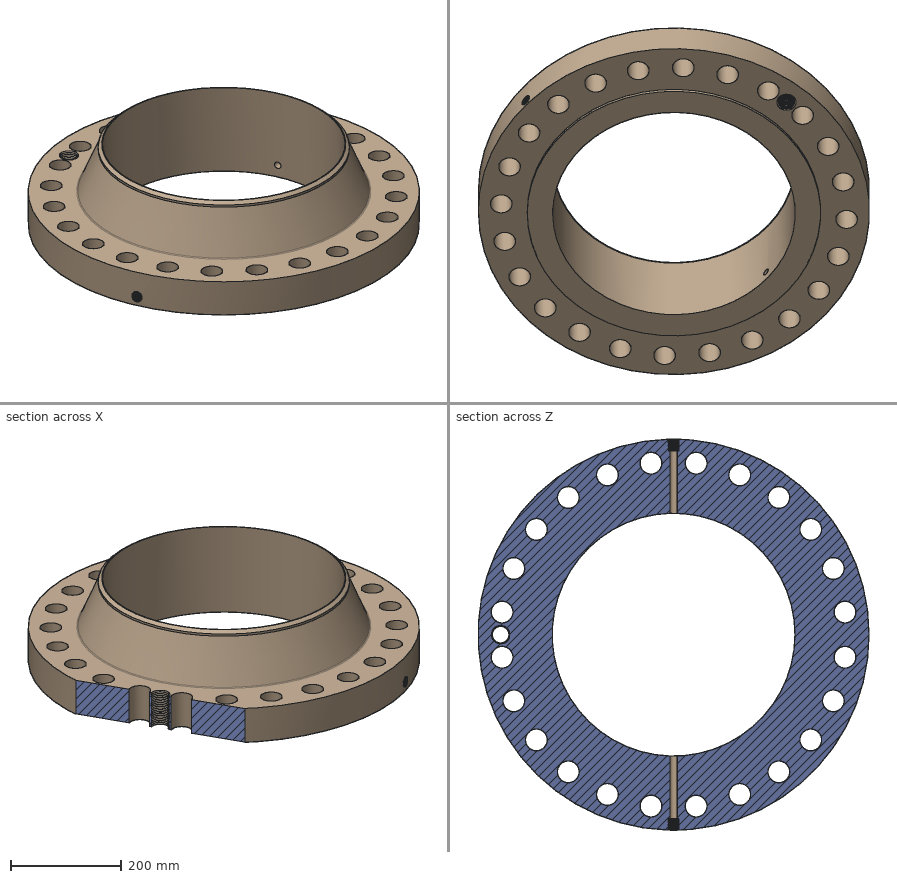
import cadquery as cq

flange_diameter = 711.0
flange_thickness = 68.0
raised_face_diameter = 533.5
raised_face_height = 6.5
overall_height = 171.5

bore_diameter = 441.0
neck_diameter = 457.0
neck_length = 4.0
bevel_height = 6.0
weld_land_width = 1.5
hub_base_diameter = 532.0
hub_root_fillet = 2.0

bolt_count = 24
bolt_circle_diameter = 629.0
bolt_hole_diameter = 39.0

jack_minor_diameter = 30.0
jack_major_diameter = 35.0
jack_thread_turns = 19

tap_major_diameter = 20.0
tap_minor_diameter = 16.5
tap_thread_depth = 21.0
tap_thread_turns = 10
tap_drill_diameter = 13.0
tap_height = 24.0

flange_top = raised_face_height + flange_thickness
bevel_bottom = overall_height - bevel_height
neck_bottom = bevel_bottom - neck_length


def flange_body():
    """Revolved ring: raised face, flange, tapered hub, neck and weld bevel."""
    bore_radius = bore_diameter / 2
    outline = [
        (bore_radius, 0),
        (raised_face_diameter / 2, 0),
        (raised_face_diameter / 2, raised_face_height),
        (flange_diameter / 2, raised_face_height),
        (flange_diameter / 2, flange_top),
        (hub_base_diameter / 2, flange_top),
        (neck_diameter / 2, neck_bottom),
        (neck_diameter / 2, bevel_bottom),
        (bore_radius + weld_land_width, overall_height),
        (bore_radius, overall_height),
    ]
    body = cq.Workplane("XZ").polyline(outline).close().revolve(360, (0, 0), (0, 1))
    hub_root = cq.selectors.RadiusNthSelector(-3)
    return body.edges(hub_root).fillet(hub_root_fillet)


def bolt_holes():
    """Through holes on the bolt circle, straddling the X and Y axes."""
    half_pitch = 180 / bolt_count
    return (
        cq.Workplane("XY")
        .polarArray(bolt_circle_diameter / 2, half_pitch, 360, bolt_count)
        .circle(bolt_hole_diameter / 2)
        .extrude(flange_top)
    )


def threaded_cutter(minor_diameter, major_diameter, length, turns):
    """Cylinder along +Z from the origin, ringed by stacked V-shaped thread ridges."""
    minor_radius = minor_diameter / 2
    major_radius = major_diameter / 2
    pitch = length / turns
    outline = [(0, 0), (major_radius, 0)]
    for turn in range(turns):
        outline.append((minor_radius, (turn + 0.5) * pitch))
        outline.append((major_radius, (turn + 1) * pitch))
    outline.append((0, length))
    return cq.Workplane("XZ").polyline(outline).close().revolve(360, (0, 0), (0, 1))


def jackscrew_hole():
    """Threaded hole through the full flange thickness."""
    cutter = threaded_cutter(jack_minor_diameter, jack_major_diameter, flange_thickness, jack_thread_turns)
    return cutter.translate((-bolt_circle_diameter / 2, 0, raised_face_height))


def pressure_taps():
    """Two opposite radial drillings from the rim into the bore, each with a threaded mouth."""
    drill = cq.Workplane("XY").circle(tap_drill_diameter / 2).extrude(flange_diameter / 2)
    mouth = threaded_cutter(tap_minor_diameter, tap_major_diameter, tap_thread_depth, tap_thread_turns)
    front_tap = (
        drill.union(mouth)
        .rotate((0, 0, 0), (1, 0, 0), -90)
        .translate((0, -flange_diameter / 2, tap_height))
    )
    back_tap = front_tap.mirror("XZ")
    return front_tap.union(back_tap)


result = flange_body().cut(bolt_holes()).cut(jackscrew_hole()).cut(pressure_taps())